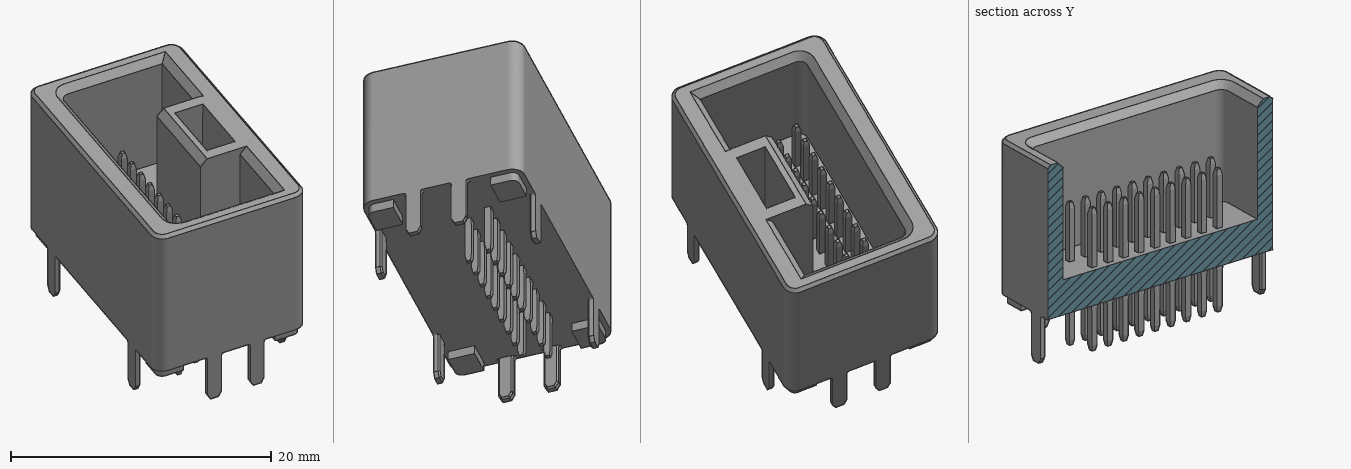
import cadquery as cq

length = 21.55
width = 13.05
housing_height = 13.05
corner_radius = 1.01
rim_chamfer = 0.25

cavity_length = 18.53
cavity_front = -4.37
cavity_back = 4.46
cavity_corner_radius = 0.7
lead_in = 0.58
floor_thickness = 3.02
cavity_depth = housing_height - floor_thickness

key_length = 7.2
key_front = 1.03
key_pocket_length = 5.32
key_pocket_front = 2.1
key_pocket_back = 4.53
key_pocket_draft = 0.06

foot_size = 2.15
foot_height = 0.8
foot_inset = 0.4
foot_corner_radius = 0.55

leg_length = 4.1
leg_width = 1.2
leg_thickness = 0.5
leg_root_radius = 0.22
leg_tip_taper = 0.25
leg_tip_height = 0.47
leg_edge_chamfer = 0.13
leg_embed = 0.43
long_side_leg_offset = 6.64
short_side_leg_positions = (-1.5, 2.2)

pin_size = 0.52
front_row_pins = 10
front_row_span = 13.5
pin_pitch = front_row_span / (front_row_pins - 1)
pin_rows = ((front_row_pins, -2.55), (front_row_pins - 1, -0.67))
pin_rise = 4.95
pin_top_height = 0.5
pin_top_taper = 0.119
pin_tip_height = 0.47
pin_tip_taper = 0.097
pin_root_height = 0.62
pin_root_flare = 0.097


def make_housing():
    """Rounded box with its cavity, key and key pocket."""
    housing = (
        cq.Workplane("XY")
        .box(length, width, housing_height, centered=(True, True, False))
        .edges("|Z")
        .fillet(corner_radius)
        .faces(">Z")
        .edges()
        .chamfer(rim_chamfer)
    )
    return housing.cut(make_cavity()).union(make_key()).cut(make_key_pocket())


def box_on_floor(box_length, front, back):
    """Box from the cavity floor to the rim, centred in X."""
    return (
        cq.Workplane("XY", origin=(0, (front + back) / 2, floor_thickness))
        .box(box_length, back - front, cavity_depth, centered=(True, True, False))
    )


def make_cavity():
    """Cavity with rounded front corners, widening through a chamfer at the rim."""
    cavity = box_on_floor(cavity_length, cavity_front, cavity_back)
    cavity = cavity.edges("|Z and <Y").fillet(cavity_corner_radius)
    rim_blank = box_on_floor(cavity_length + 2 * lead_in, cavity_front - lead_in, cavity_back + lead_in)
    mouth = (
        rim_blank.edges("|Z and <Y")
        .fillet(cavity_corner_radius + lead_in)
        .faces("<Z")
        .edges()
        .chamfer(lead_in)
        .translate((0, 0, cavity_depth - lead_in))
    )
    return cavity.union(mouth)


def make_key():
    """Block on the back wall with a lead-in chamfer along its front top edge."""
    key = box_on_floor(key_length, key_front, cavity_back + lead_in)
    return key.faces("<Y").edges(">Z").chamfer(lead_in)


def make_key_pocket():
    """Pocket in the key whose back wall leans forward slightly toward the floor."""
    side_outline = [
        (key_pocket_front, floor_thickness),
        (key_pocket_back - key_pocket_draft, floor_thickness),
        (key_pocket_back, housing_height),
        (key_pocket_front, housing_height),
    ]
    return (
        cq.Workplane("YZ")
        .polyline(side_outline)
        .close()
        .extrude(key_pocket_length / 2, both=True)
    )


def make_feet():
    """Square feet with rounded outer corners."""
    feet_length = length - 2 * foot_inset
    feet_width = width - 2 * foot_inset
    outline = (
        cq.Workplane("XY")
        .rect(feet_length, feet_width)
        .extrude(-foot_height)
        .edges("|Z")
        .fillet(foot_corner_radius)
    )
    corner_blocks = (
        cq.Workplane("XY")
        .rect(feet_length - foot_size, feet_width - foot_size, forConstruction=True)
        .vertices()
        .rect(foot_size, foot_size)
        .extrude(-foot_height)
    )
    return outline.intersect(corner_blocks)


def make_leg():
    """Leg at the origin with its outer face on y = 0 and its body toward +Y."""
    half = leg_width / 2
    root = half + leg_root_radius
    leg = (
        cq.Workplane("XZ")
        .moveTo(-root, leg_embed)
        .lineTo(-root, 0)
        .radiusArc((-half, -leg_root_radius), leg_root_radius)
        .lineTo(-half, leg_tip_height - leg_length)
        .lineTo(leg_tip_taper - half, -leg_length)
        .lineTo(half - leg_tip_taper, -leg_length)
        .lineTo(half, leg_tip_height - leg_length)
        .lineTo(half, -leg_root_radius)
        .radiusArc((root, 0), leg_root_radius)
        .lineTo(root, leg_embed)
        .close()
        .extrude(-leg_thickness)
    )
    return leg.faces(">Y").edges().chamfer(leg_edge_chamfer)


def make_legs():
    """Two legs on every side, each facing outward."""
    leg = make_leg()
    front_leg = leg.translate((0, -width / 2, 0))
    side_leg = leg.rotate((0, 0, 0), (0, 0, 1), -90).translate((-length / 2, 0, 0))
    legs = []
    for x in (-long_side_leg_offset, long_side_leg_offset):
        legs.append(front_leg.translate((x, 0, 0)))
        legs.append(front_leg.mirror("XZ").translate((x, 0, 0)))
    for y in short_side_leg_positions:
        legs.append(side_leg.translate((0, y, 0)))
        legs.append(side_leg.mirror("YZ").translate((0, y, 0)))
    return legs


def pyramid_frustum(base_z, base_size, height, taper):
    """Square frustum narrowing by taper on every side; height may point down."""
    end_size = base_size - 2 * taper
    return (
        cq.Workplane("XY", origin=(0, 0, base_z))
        .rect(base_size, base_size)
        .workplane(offset=height)
        .rect(end_size, end_size)
        .loft(ruled=True)
    )


def make_pin():
    """Square pin with tapered ends and a root that flares in X under the housing."""
    shaft_bottom = pin_tip_height - leg_length
    shaft_top = floor_thickness + pin_rise - pin_top_height
    shaft = (
        cq.Workplane("XY", origin=(0, 0, shaft_bottom))
        .box(pin_size, pin_size, shaft_top - shaft_bottom, centered=(True, True, False))
    )
    half = pin_size / 2
    root_half = half + pin_root_flare
    root = (
        cq.Workplane("XZ")
        .polyline([(-root_half, 0), (-half, -pin_root_height), (half, -pin_root_height), (root_half, 0)])
        .close()
        .extrude(half, both=True)
    )
    tip = pyramid_frustum(shaft_bottom, pin_size, -pin_tip_height, pin_tip_taper)
    top = pyramid_frustum(shaft_top, pin_size, pin_top_height, pin_top_taper)
    return shaft.union(root).union(tip).union(top)


def make_pins():
    """Both rows centred in X, so unequal counts stagger them by half a pitch."""
    pin = make_pin()
    pins = []
    for count, y in pin_rows:
        for index in range(count):
            x = (index - (count - 1) / 2) * pin_pitch
            pins.append(pin.translate((x, y, 0)))
    return pins


result = make_housing().union(make_feet())
for metal_part in make_legs() + make_pins():
    result = result.union(metal_part)